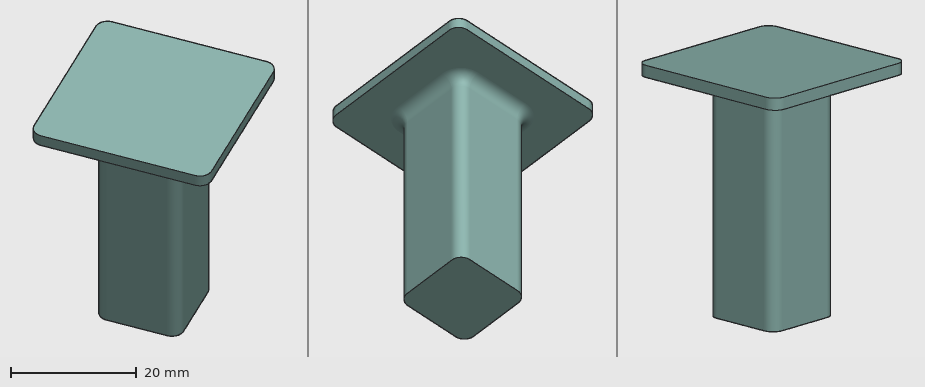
import cadquery as cq

total_height = 42.0
plate_side = 30.4
plate_thickness = 2.0
post_side = 14.4
corner_radius = 2.0
root_fillet_radius = 2.0

post_height = total_height - plate_thickness


def rounded_square_block(side, height, base_z):
    """Square block centred on Z with rounded vertical edges."""
    return (
        cq.Workplane("XY")
        .workplane(offset=base_z)
        .rect(side, side)
        .extrude(height)
        .edges("|Z")
        .fillet(corner_radius)
    )


post = rounded_square_block(post_side, post_height, 0)
plate = rounded_square_block(plate_side, plate_thickness, post_height)

search_margin = 0.4
half_search = post_side / 2 + search_margin
root_selector = cq.selectors.BoxSelector(
    (-half_search, -half_search, post_height - search_margin),
    (half_search, half_search, post_height + search_margin),
)
result = post.union(plate).edges(root_selector).fillet(root_fillet_radius)